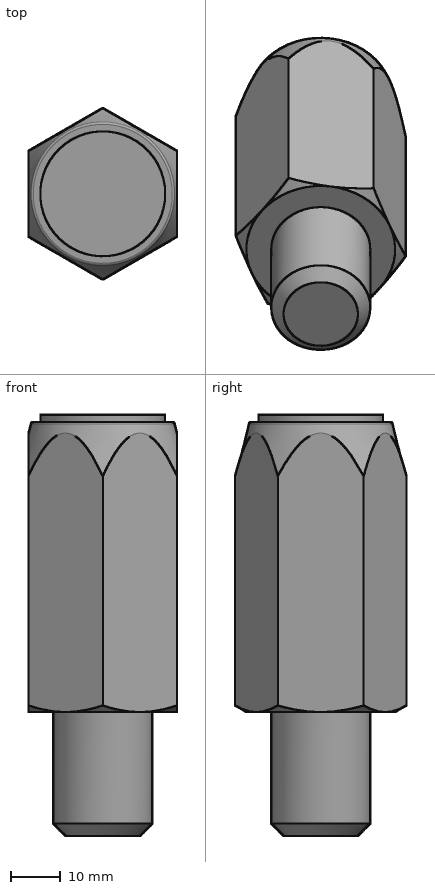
import cadquery as cq
import math

hexagon_sides = 6
across_flats = 30.0
body_height = 60.0
pad_diameter = 25.2
pad_height = 1.5
stud_diameter = 20.0
stud_length = 25.0
stud_chamfer = 2.5
taper_angle = 15.0
shoulder_diameter = 28.8
shoulder_round = 0.5
lower_chamfer_angle = 30.0

flat_radius = across_flats / 2
half_sector = 180 / hexagon_sides
corner_radius = flat_radius / math.cos(math.radians(half_sector))
corner_gain = corner_radius - flat_radius
shoulder_z = body_height - pad_height
taper_slope = math.tan(math.radians(taper_angle))
shoulder_radius = shoulder_diameter / 2
taper_end_z = shoulder_z - (corner_radius - shoulder_radius) / taper_slope
lower_chamfer_height = corner_gain * math.tan(math.radians(lower_chamfer_angle))


def make_hexagon():
    """Hexagonal prism with flats facing +X and -X."""
    hexagon = cq.Workplane("XY").polygon(hexagon_sides, 2 * corner_radius).extrude(shoulder_z)
    return hexagon.rotate((0, 0, 0), (0, 0, 1), half_sector)


def make_turned_envelope():
    """Round envelope that tapers the top corners and chamfers the lower ones."""
    profile = (
        cq.Workplane("XZ")
        .moveTo(0, 0)
        .lineTo(flat_radius, 0)
        .lineTo(corner_radius, lower_chamfer_height)
        .lineTo(corner_radius, taper_end_z)
        .lineTo(shoulder_radius, shoulder_z)
        .lineTo(0, shoulder_z)
        .close()
    )
    envelope = profile.revolve(360, (0, 0, 0), (0, 1, 0))
    return envelope.faces(">Z").edges().fillet(shoulder_round)


def make_pad():
    """Shallow round pad on the shoulder."""
    return cq.Workplane("XY").workplane(offset=shoulder_z).circle(pad_diameter / 2).extrude(pad_height)


def make_stud():
    """Plain stud below the hexagon, chamfered at its free end."""
    stud = cq.Workplane("XY").circle(stud_diameter / 2).extrude(-stud_length)
    return stud.faces("<Z").edges().chamfer(stud_chamfer)


body = make_hexagon().intersect(make_turned_envelope())
result = body.union(make_pad()).union(make_stud())